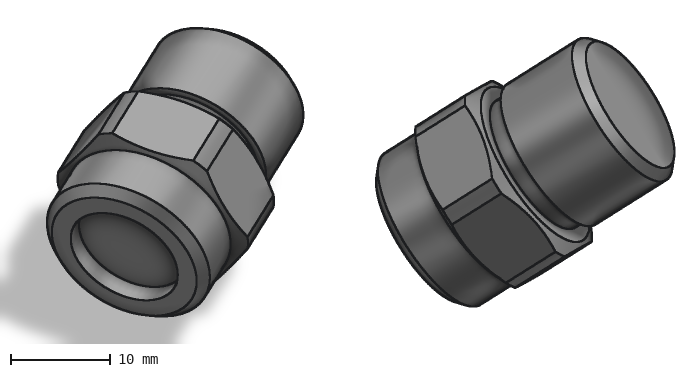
import cadquery as cq
import math

socket_length = 6.0
hex_length = 8.0
neck_length = 2.0
spigot_length = 10.0
total_length = socket_length + hex_length + neck_length + spigot_length

socket_diameter = 18.0
neck_diameter = 15.0
spigot_diameter = 16.66
end_chamfer = 1.0
bore_diameter = 11.82
bore_depth = 2.0

hex_sides = 6
across_flats = 19.0
corner_diameter = 21.0
hex_face_diameter = socket_diameter
hex_chamfer_angle = 30.0

front_y = -total_length / 2
hex_front_y = front_y + socket_length
hex_back_y = hex_front_y + hex_length
spigot_start_y = hex_back_y + neck_length


def cylinder(start_y, length, diameter):
    """Round bar along +Y, starting at start_y."""
    plane = cq.Workplane("XZ", origin=(0, start_y, 0))
    return plane.circle(diameter / 2).extrude(-length)


def make_socket_end():
    """Front collar with a chamfered outer rim."""
    body = cylinder(front_y, socket_length, socket_diameter)
    return body.faces("<Y").chamfer(end_chamfer)


def make_spigot():
    """Rear cylinder with a chamfered free end."""
    body = cylinder(spigot_start_y, spigot_length, spigot_diameter)
    return body.faces(">Y").chamfer(end_chamfer)


def make_hexagon():
    """Hexagonal prism with corners along X, cut back by a turned, chamfered envelope."""
    across_corners = across_flats / math.cos(math.pi / hex_sides)
    plane = cq.Workplane("XZ", origin=(0, hex_front_y, 0))
    prism = plane.polygon(hex_sides, across_corners).extrude(-hex_length)

    corner_radius = corner_diameter / 2
    face_radius = hex_face_diameter / 2
    chamfer_length = (corner_radius - face_radius) * math.tan(math.radians(hex_chamfer_angle))
    envelope = (
        cq.Workplane("XY")
        .moveTo(0, hex_front_y)
        .lineTo(face_radius, hex_front_y)
        .lineTo(corner_radius, hex_front_y + chamfer_length)
        .lineTo(corner_radius, hex_back_y - chamfer_length)
        .lineTo(face_radius, hex_back_y)
        .lineTo(0, hex_back_y)
        .close()
        .revolve(360, (0, 0, 0), (0, 1, 0))
    )
    return prism.intersect(envelope)


neck = cylinder(hex_back_y, neck_length, neck_diameter)
bore = cylinder(front_y, bore_depth, bore_diameter)

result = make_socket_end().union(make_hexagon()).union(neck).union(make_spigot()).cut(bore)